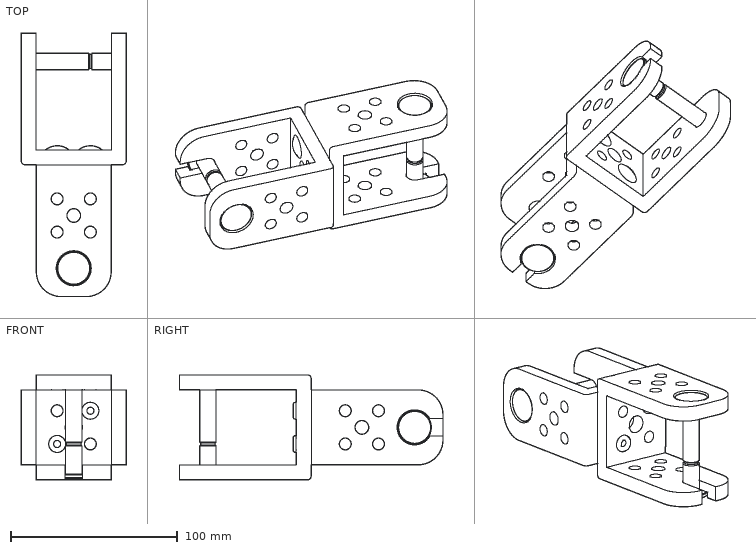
import cadquery as cq
import math

yoke_length = 79.0
yoke_width = 63.0
plate = 9.0
arm_width = yoke_width - 2 * plate
bend_radius = 2.4
tip_radius = 15.0

hole_dia = 7.0
hole_offset = 10.0
arm_center_hole_dia = 8.0
web_center_hole_dia = 10.5
pattern_y = -30.3

pin_y = -62.0
pin_dia = 10.0
pin_bore_dia = 10.5
pin_head_dia = 20.0
pin_head_thickness = 2.5
pin_head_chamfer = 0.5
counterbore_dia = 21.0
head_recess = 1.0
pin_neck_dia = 8.7
pin_neck_length = 1.0
pin_end_chamfer = (pin_dia - pin_neck_dia) / 2
joint_z = -9.5

rivet_head_dia = 10.1
rivet_head_height = 1.9
rivet_dimple_dia = 4.3
rivet_dimple_depth = 1.3
rivet_dome_dia = 14.2
rivet_dome_height = 2.5

half_width = yoke_width / 2
counterbore_depth = pin_head_thickness + head_recess


def cylinder_z(diameter, z_low, z_high, y):
    """Solid cylinder along Z between two heights, centered at X = 0."""
    return cq.Workplane("XY", origin=(0, y, z_low)).circle(diameter / 2).extrude(z_high - z_low)


def make_yoke():
    """Yoke open toward -Y, with a bored upper arm and a slotted lower arm."""
    body = (
        cq.Workplane("XY")
        .box(arm_width, yoke_length, yoke_width, centered=(True, False, True))
        .translate((0, -yoke_length, 0))
        .edges("|X and >Y")
        .fillet(bend_radius)
        .edges("|Z and <Y")
        .fillet(tip_radius)
    )
    opening = (
        cq.Workplane("XY")
        .box(arm_width, yoke_length, arm_width, centered=(True, False, True))
        .translate((0, -yoke_length - plate, 0))
    )
    body = body.cut(opening)

    corners = [(sx * hole_offset, sy * hole_offset) for sx in (-1, 1) for sy in (-1, 1)]
    arm_holes = (
        cq.Workplane("XY", origin=(0, pattern_y, -half_width))
        .pushPoints(corners)
        .circle(hole_dia / 2)
        .extrude(yoke_width)
    )
    arm_center_hole = cylinder_z(arm_center_hole_dia, -half_width, half_width, y=pattern_y)
    web_holes = cq.Workplane("XZ").pushPoints(corners).circle(hole_dia / 2).extrude(plate)
    web_center_hole = cq.Workplane("XZ").circle(web_center_hole_dia / 2).extrude(plate)
    body = body.cut(arm_holes).cut(arm_center_hole).cut(web_holes).cut(web_center_hole)

    pin_bore = cylinder_z(pin_bore_dia, -half_width, half_width, y=pin_y)
    slot_length = yoke_length + pin_y
    slot = (
        cq.Workplane("XY")
        .box(pin_bore_dia, slot_length, plate, centered=(True, False, False))
        .translate((0, -yoke_length, -half_width))
    )
    upper_counterbore = cylinder_z(counterbore_dia, half_width - counterbore_depth, half_width, y=pin_y)
    lower_counterbore = cylinder_z(counterbore_dia, -half_width, -half_width + counterbore_depth, y=pin_y)
    return body.cut(pin_bore).cut(slot).cut(upper_counterbore).cut(lower_counterbore)


def make_pin_half(outward):
    """Headed half pin; outward is +1 for the upper arm, -1 for the lower arm, whose half has the neck."""
    head_face = half_width - head_recess
    shoulder_z = joint_z if outward > 0 else joint_z - pin_neck_length
    length = head_face - outward * shoulder_z
    head = (
        cq.Workplane("XY")
        .circle(pin_head_dia / 2)
        .extrude(pin_head_thickness)
        .faces("<Z or >Z")
        .chamfer(pin_head_chamfer)
    )
    shank = cq.Workplane("XY").circle(pin_dia / 2).extrude(length).faces(">Z").chamfer(pin_end_chamfer)
    half = head.union(shank)
    if outward < 0:
        half = half.faces(">Z").workplane().circle(pin_neck_dia / 2).extrude(pin_neck_length)
    if outward > 0:
        half = half.rotate((0, 0, 0), (1, 0, 0), 180)
    return half.translate((0, pin_y, outward * head_face))


def make_rivet(x, z):
    """Rivet along Y through both webs: ring head toward -Y, domed tail toward +Y."""
    head_radius = rivet_head_dia / 2
    dimple_radius = rivet_dimple_dia / 2
    shank_radius = hole_dia / 2
    dome_radius = rivet_dome_dia / 2
    head_top = -plate - rivet_head_height
    sphere_radius = (dome_radius**2 + rivet_dome_height**2) / (2 * rivet_dome_height)
    dome_top = plate + rivet_dome_height
    dome_angle = math.asin(dome_radius / sphere_radius) / 2
    dome_mid = (
        sphere_radius * math.sin(dome_angle),
        dome_top - sphere_radius * (1 - math.cos(dome_angle)),
    )
    profile = (
        cq.Workplane("XY")
        .moveTo(0, -plate + rivet_dimple_depth)
        .lineTo(dimple_radius, -plate)
        .threePointArc(((dimple_radius + head_radius) / 2, head_top), (head_radius, -plate))
        .lineTo(shank_radius, -plate)
        .lineTo(shank_radius, plate)
        .lineTo(dome_radius, plate)
        .threePointArc(dome_mid, (0, dome_top))
        .close()
    )
    return profile.revolve(360, (0, 0, 0), (0, 1, 0)).translate((x, 0, z))


def crossed(body):
    """Half turn about the X = -Z diagonal, which carries one yoke assembly onto the other."""
    return body.rotate((0, 0, 0), (1, 0, -1), 180)


yoke = make_yoke()
pin_halves = [make_pin_half(outward) for outward in (1, -1)]
hinge_bodies = [yoke, *pin_halves]
rivets = [make_rivet(side * hole_offset, side * hole_offset) for side in (1, -1)]

bodies = hinge_bodies + [crossed(body) for body in hinge_bodies] + rivets
result = cq.Compound.makeCompound([body.val() for body in bodies])